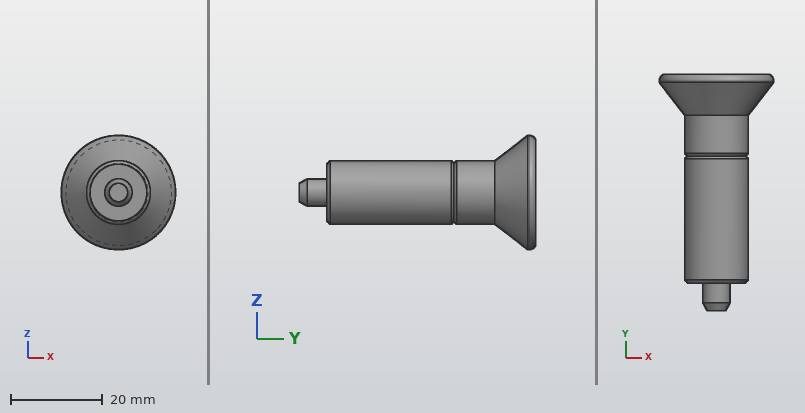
import cadquery as cq
import math

total_length = 51.7
pin_length = 6.0
head_length = 8.95
groove_to_head = 8.4

pin_radius = 3.0
pin_tip_radius = 2.0
body_radius = 7.0
head_radius = 12.5

pin_taper_length = 1.75
body_chamfer = 0.8
groove_width = 1.15
groove_depth = groove_width / 2
rim_height = 1.5
rim_inset = 1.0
rim_land = 0.3

head_start = total_length - head_length
groove_end = head_start - groove_to_head
groove_start = groove_end - groove_width
rim_start = total_length - rim_height - rim_land
rim_arc_start = total_length - rim_height

rim_arc_radius = (rim_height**2 + rim_inset**2) / (2 * rim_inset)
rim_arc_half_angle = math.asin(rim_height / rim_arc_radius) / 2
rim_arc_middle = (
    head_radius - rim_arc_radius * (1 - math.cos(rim_arc_half_angle)),
    rim_arc_start + rim_arc_radius * math.sin(rim_arc_half_angle),
)


def revolved_plunger():
    """Pin, chamfered body with V-groove, and flared head as one revolved half profile."""
    profile = (
        cq.Workplane("XY")
        .moveTo(0, 0)
        .lineTo(pin_tip_radius, 0)
        .lineTo(pin_radius, pin_taper_length)
        .lineTo(pin_radius, pin_length)
        .lineTo(body_radius - body_chamfer, pin_length)
        .lineTo(body_radius, pin_length + body_chamfer)
        .lineTo(body_radius, groove_start)
        .lineTo(body_radius - groove_depth, groove_start + groove_width / 2)
        .lineTo(body_radius, groove_end)
        .lineTo(body_radius, head_start)
        .lineTo(head_radius, rim_start)
        .lineTo(head_radius, rim_arc_start)
        .threePointArc(rim_arc_middle, (head_radius - rim_inset, total_length))
        .lineTo(0, total_length)
        .close()
    )
    return profile.revolve(360, (0, 0, 0), (0, 1, 0))


result = revolved_plunger()